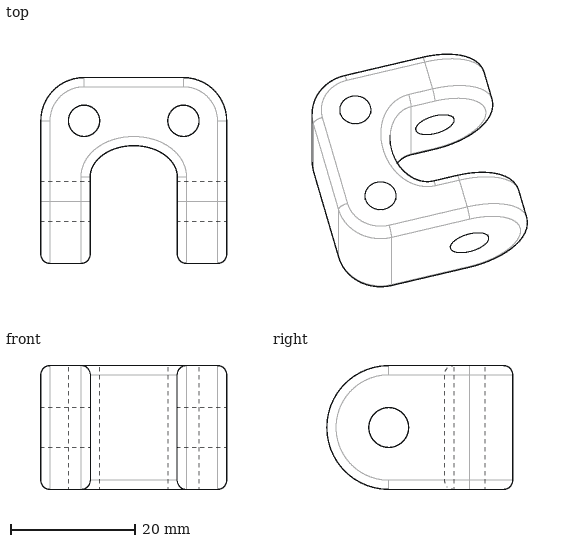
import cadquery as cq

width = 30.0
depth = 30.0
height = width * 2 / 3

edge_radius = 1.5
corner_radius = 7.0
slot_width = 14.0
bridge_thickness = 11.0
slot_end_depth = 5.0
bolt_hole_diameter = 5.0
pin_hole_diameter = 6.4

lug_radius = height / 2
back_y = depth / 2
front_y = -depth / 2
lug_center_y = front_y + lug_radius
slot_end_y = back_y - bridge_thickness - slot_end_depth
bolt_x = width / 2 - corner_radius
bolt_y = back_y - corner_radius


def make_body():
    """Block with rounded back corners and a full round on the lug ends."""
    block = cq.Workplane("XY").box(width, depth, height)
    block = block.edges("|Z and >Y").fillet(corner_radius)
    side_profile = (
        cq.Workplane("YZ")
        .moveTo(back_y, -lug_radius)
        .lineTo(lug_center_y, -lug_radius)
        .threePointArc((front_y, 0), (lug_center_y, lug_radius))
        .lineTo(back_y, lug_radius)
        .close()
        .extrude(width / 2, both=True)
    )
    return block.intersect(side_profile)


def make_slot():
    """Slot between the lugs, open at the front, with a half-elliptical end."""
    return (
        cq.Workplane("XY", origin=(0, 0, -height / 2))
        .moveTo(-slot_width / 2, front_y)
        .lineTo(slot_width / 2, front_y)
        .lineTo(slot_width / 2, slot_end_y)
        .ellipseArc(slot_width / 2, slot_end_depth, 0, 180, startAtCurrent=True)
        .close()
        .extrude(height)
    )


def make_bolt_holes():
    """Vertical through holes, concentric with the rounded back corners."""
    return (
        cq.Workplane("XY")
        .pushPoints([(-bolt_x, bolt_y), (bolt_x, bolt_y)])
        .circle(bolt_hole_diameter / 2)
        .extrude(lug_radius, both=True)
    )


def make_pin_hole():
    """Cross hole through both lugs, concentric with their rounded ends."""
    return (
        cq.Workplane("YZ")
        .center(lug_center_y, 0)
        .circle(pin_hole_diameter / 2)
        .extrude(width / 2, both=True)
    )


body = make_body().cut(make_slot())
body = body.edges("not (|X or |Z)").fillet(edge_radius)
result = body.cut(make_bolt_holes()).cut(make_pin_hole())